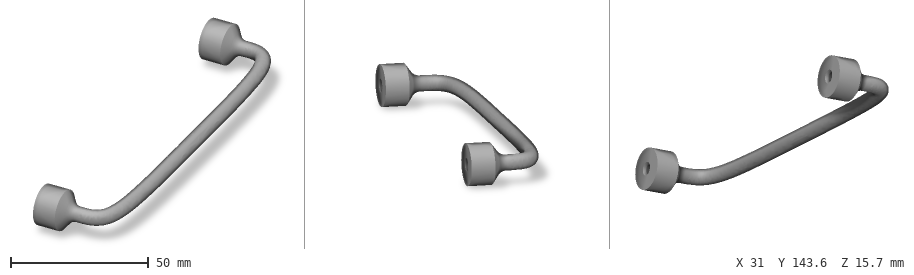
import cadquery as cq

total_length = 143.6
total_height = 31.0
foot_diameter = 15.7
foot_height = 8.9
rod_diameter = 5.9
neck_top = 16.1
flare_top = 11.5
flare_radius = 4.5
neck_start = 14.7
hole_diameter = 3.3
hole_depth = 8.6
countersink_diameter = 5.0
drill_tip_depth = 0.9
bow_control_y = 56.0

foot_radius = foot_diameter / 2
rod_radius = rod_diameter / 2
hole_radius = hole_diameter / 2
countersink_radius = countersink_diameter / 2
countersink_depth = countersink_radius - hole_radius
foot_y = total_length / 2 - foot_radius
grip_x = total_height - rod_radius


def make_foot(y):
    """Cylindrical foot along X, flaring smoothly down to the rod diameter."""
    profile = (
        cq.Workplane("XY")
        .lineTo(0, foot_radius)
        .lineTo(foot_height, foot_radius)
        .lineTo(flare_top, flare_radius)
        .tangentArcPoint((neck_start, rod_radius), relative=False)
        .lineTo(neck_top, rod_radius)
        .lineTo(neck_top, 0)
        .close()
    )
    return profile.revolve(360, (0, 0), (1, 0)).translate((0, y, 0))


def make_screw_hole(y):
    """Blind hole with a 45 degree countersink and a conical bottom."""
    profile = (
        cq.Workplane("XY")
        .lineTo(0, countersink_radius)
        .lineTo(countersink_depth, hole_radius)
        .lineTo(hole_depth, hole_radius)
        .lineTo(hole_depth + drill_tip_depth, 0)
        .close()
    )
    return profile.revolve(360, (0, 0), (1, 0)).translate((0, y, 0))


def make_half_bow():
    """Round rod curving from the neck at +Y to the middle of the grip."""
    path = cq.Workplane("XY").bezier([
        (neck_top, foot_y),
        (grip_x, foot_y),
        (grip_x, bow_control_y),
        (grip_x, 0),
    ])
    section = cq.Workplane("YZ", origin=(neck_top, foot_y, 0)).circle(rod_radius)
    return section.sweep(path)


half_bow = make_half_bow()
result = half_bow.union(half_bow.mirror("XZ"))
for side in (1, -1):
    result = result.union(make_foot(side * foot_y))
for side in (1, -1):
    result = result.cut(make_screw_hole(side * foot_y))